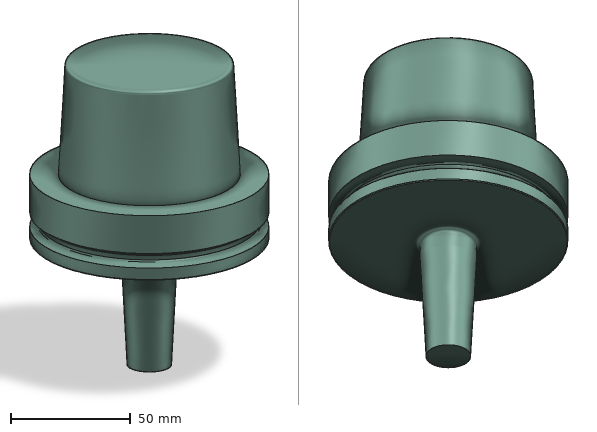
import cadquery as cq
import math

total_height = 135.0
shank_cone_top = 47.0
shank_neck_top = 53.0
flange_bottom = 56.0
flange_top = 84.9

shank_tip_radius = 9.3
shank_radius = 11.7
flange_radius = 50.02
groove_radius = 46.3
plug_base_radius = 38.1
plug_top_radius = 35.2

groove_center = 64.8
groove_mouth_width = 6.5
groove_floor_width = 3.0
groove_mouth_bottom = groove_center - groove_mouth_width / 2
groove_mouth_top = groove_center + groove_mouth_width / 2
groove_floor_bottom = groove_center - groove_floor_width / 2
groove_floor_top = groove_center + groove_floor_width / 2

plug_edge_fillet = 2.0
groove_floor_fillet = 0.8
neck_fillet = flange_bottom - shank_neck_top
flange_chamfer = 0.4

profile = (
    cq.Workplane("XZ")
    .moveTo(0, 0)
    .lineTo(shank_tip_radius, 0)
    .lineTo(shank_radius, shank_cone_top)
    .lineTo(shank_radius, shank_neck_top)
    .radiusArc((shank_radius + neck_fillet, flange_bottom), neck_fillet)
    .lineTo(flange_radius - flange_chamfer, flange_bottom)
    .lineTo(flange_radius, flange_bottom + flange_chamfer)
    .lineTo(flange_radius, groove_mouth_bottom)
    .lineTo(groove_radius, groove_floor_bottom)
    .lineTo(groove_radius, groove_floor_top)
    .lineTo(flange_radius, groove_mouth_top)
    .lineTo(flange_radius, flange_top)
    .lineTo(plug_base_radius, flange_top)
    .lineTo(plug_top_radius, total_height)
    .lineTo(0, total_height)
    .close()
)
body = profile.revolve(360, (0, 0, 0), (0, 1, 0))

groove_floor_corners = (
    body.edges("%CIRCLE")
    .filter(lambda edge: math.isclose(edge.radius(), groove_radius, abs_tol=0.0001))
)
body = groove_floor_corners.fillet(groove_floor_fillet)

result = body.faces(">Z").edges().fillet(plug_edge_fillet)